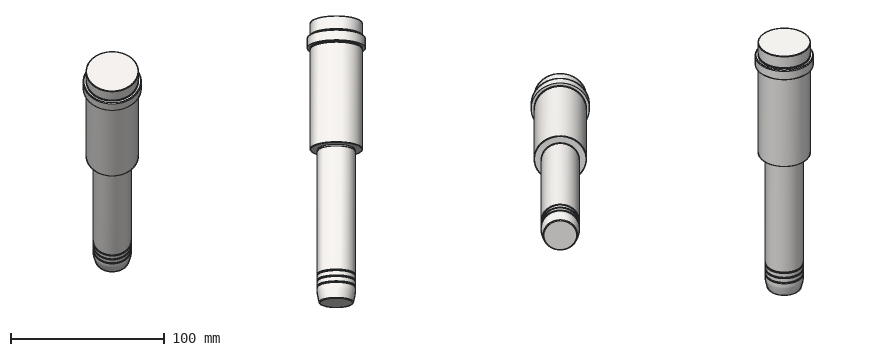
import cadquery as cq

total_length = 190.0
body_length = 85.9
body_radius = 17.1
body_chamfer = 0.4
pin_radius = 12.5

collar_radius = 19.0
collar_drop = 9.9
collar_height = 7.0
collar_chamfer = 0.5
relief_width = 1.1
relief_depth = 0.4

neck_length = 1.1
neck_depth = 0.4

groove_count = 3
groove_pitch = 4.0
groove_width = 1.1
groove_depth = 0.4
lowest_groove_height = 10.8

nose_height = 7.2
nose_radius = 11.2
nose_bulge = 0.2
tip_chamfer = 0.5

body_bottom = total_length - body_length
collar_top = total_length - collar_drop
collar_bottom = collar_top - collar_height


def cylinder(radius, bottom, height):
    return cq.Workplane("XY").workplane(offset=bottom).circle(radius).extrude(height)


def vee_groove(outer_radius, depth, bottom, width):
    """Ring with a triangular section, to cut a shallow V groove in a cylinder."""
    return (
        cq.Workplane("XZ")
        .moveTo(outer_radius, bottom)
        .lineTo(outer_radius - depth, bottom + width / 2)
        .lineTo(outer_radius, bottom + width)
        .close()
        .revolve(360, (0, 0), (0, 1))
    )


def make_body():
    body = cylinder(body_radius, body_bottom, body_length).faces("<Z or >Z").edges().chamfer(body_chamfer)
    for bottom in (collar_top, collar_bottom - relief_width):
        body = body.cut(vee_groove(body_radius, relief_depth, bottom, relief_width))
    collar = cylinder(collar_radius, collar_bottom, collar_height)
    return body.union(collar.faces(">Z").edges().chamfer(collar_chamfer))


def make_pin():
    neck_bottom = body_bottom - neck_length
    pin = cylinder(pin_radius, nose_height, neck_bottom - nose_height)
    pin = pin.union(cylinder(pin_radius - neck_depth, neck_bottom, neck_length))
    for index in range(groove_count):
        bottom = lowest_groove_height + index * groove_pitch - groove_width / 2
        pin = pin.cut(vee_groove(pin_radius, groove_depth, bottom, groove_width))
    return pin


def make_nose():
    arc_middle = ((pin_radius + nose_radius) / 2 + nose_bulge, (nose_height + tip_chamfer) / 2)
    return (
        cq.Workplane("XZ")
        .lineTo(nose_radius - tip_chamfer, 0)
        .lineTo(nose_radius, tip_chamfer)
        .threePointArc(arc_middle, (pin_radius, nose_height))
        .lineTo(0, nose_height)
        .close()
        .revolve(360, (0, 0), (0, 1))
    )


result = make_body().union(make_pin()).union(make_nose())